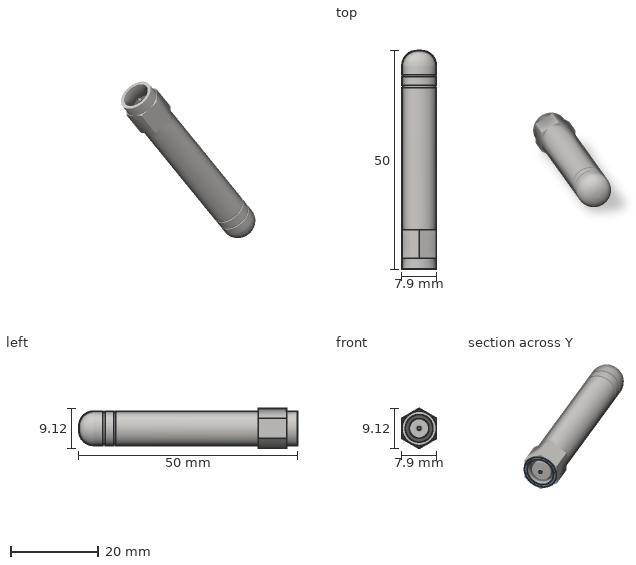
import cadquery as cq
import math

length = 50.0
body_diameter = 7.9
dome_radius = 3.5

groove_diameter = 7.5
groove_width = 0.5
groove_starts = (length - 8.5, length - 6.0)

nut_start = 2.5
nut_length = 6.5
nut_across_flats = body_diameter
nut_across_corners = nut_across_flats / math.cos(math.radians(30))

socket_diameter = 6.3
socket_depth = 5.0
insulator_diameter = 4.5
insulator_face = 3.0
pin_diameter = 0.8
pin_tip = 1.1
pin_cone_length = 0.7


def cylinder(diameter, start, end):
    """Solid cylinder on the Y axis between two Y positions."""
    axis = cq.Vector(0, 1, 0)
    return cq.Workplane(cq.Solid.makeCylinder(diameter / 2, end - start, cq.Vector(0, start, 0), axis))


def make_body():
    return cylinder(body_diameter, 0, length).faces(">Y").edges().fillet(dome_radius)


def make_groove(start):
    end = start + groove_width
    return cylinder(body_diameter, start, end).cut(cylinder(groove_diameter, start, end))


def make_nut():
    return (
        cq.Workplane("XZ", origin=(0, nut_start, 0))
        .polygon(6, nut_across_corners)
        .extrude(-nut_length)
        .rotate((0, 0, 0), (0, 1, 0), 30)
    )


def make_pin():
    """Pin ending in a pointed cone that faces the mouth."""
    cone_base = pin_tip + pin_cone_length
    cone = cq.Solid.makeCone(
        0, pin_diameter / 2, pin_cone_length, cq.Vector(0, pin_tip, 0), cq.Vector(0, 1, 0)
    )
    return cylinder(pin_diameter, cone_base, socket_depth).union(cq.Workplane(cone))


result = make_body().union(make_nut())
for groove_start in groove_starts:
    result = result.cut(make_groove(groove_start))

result = result.cut(cylinder(socket_diameter, 0, socket_depth))
result = result.union(cylinder(insulator_diameter, insulator_face, socket_depth))
result = result.union(make_pin())

result = result.translate((0, -length / 2, 0))